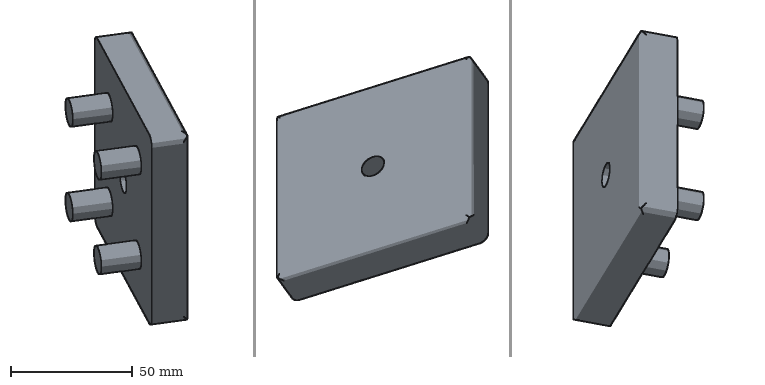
import cadquery as cq

plate_side = 90.0
plate_thickness = 16.0
corner_radius = 4.1
back_edge_radius = 3.0

peg_diameter = 12.0
peg_length = 17.0
peg_spacing = plate_side / 2

hole_diameter = 10.2


def make_slab():
    """Sharp-edged plate, centered in X and Z, with its front face at Y = 0."""
    return cq.Workplane("XY").box(
        plate_side, plate_thickness, plate_side, centered=(True, False, True)
    )


def make_plate():
    """Intersect three slabs, each rounded along one axis, so the roundings meet in sharp miters."""
    rounded_corners = make_slab().edges("|Y").fillet(corner_radius)
    rounded_back_along_x = make_slab().edges("|X and >Y").fillet(back_edge_radius)
    rounded_back_along_z = make_slab().edges("|Z and >Y").fillet(back_edge_radius)
    return rounded_corners.intersect(rounded_back_along_x).intersect(rounded_back_along_z)


def make_pegs():
    """Four pegs pointing toward -Y."""
    return (
        cq.Workplane("XZ")
        .rarray(peg_spacing, peg_spacing, 2, 2)
        .circle(peg_diameter / 2)
        .extrude(peg_length)
    )


def make_hole():
    """Cutter for the hole through the plate."""
    return cq.Workplane("XZ").circle(hole_diameter / 2).extrude(-plate_thickness)


result = make_plate().union(make_pegs()).cut(make_hole())